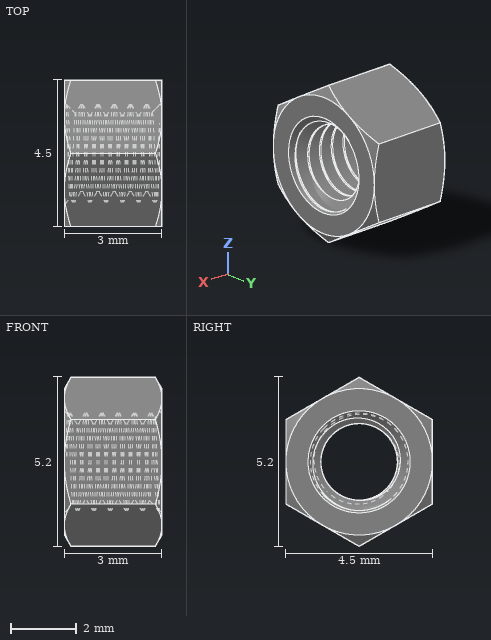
import cadquery as cq
import math

corner_width = 5.2
flat_width = corner_width * math.cos(math.pi / 6)
thickness = 3.0
corner_chamfer_angle = math.radians(30)

pitch = 0.5
major_radius = 1.5
flank_half_angle = math.radians(30)
flat_length = pitch / 8
flank_length = (pitch - 2 * flat_length) / 2
minor_radius = major_radius - flank_length / math.tan(flank_half_angle)
first_root_height = -0.09

countersink_radius = 1.57
countersink_depth = countersink_radius - minor_radius

bore_overlap = 0.025


def hexagon_blank():
    """Hexagonal prism with conical chamfers across the corners of both ends."""
    hexagon = cq.Workplane("XY").polygon(6, corner_width).extrude(thickness)
    corner_radius = corner_width / 2
    face_radius = flat_width / 2
    chamfer_height = (corner_radius - face_radius) * math.tan(corner_chamfer_angle)
    envelope = (
        cq.Workplane("XZ")
        .moveTo(0, 0)
        .lineTo(face_radius, 0)
        .lineTo(corner_radius, chamfer_height)
        .lineTo(corner_radius, thickness - chamfer_height)
        .lineTo(face_radius, thickness)
        .lineTo(0, thickness)
        .close()
        .revolve(360, (0, 0), (0, 1))
    )
    return hexagon.intersect(envelope)


def countersunk_bore():
    """Through bore at the thread crest with a countersink at each end."""
    return (
        cq.Workplane("XZ")
        .moveTo(0, 0)
        .lineTo(countersink_radius, 0)
        .lineTo(minor_radius, countersink_depth)
        .lineTo(minor_radius, thickness - countersink_depth)
        .lineTo(countersink_radius, thickness)
        .lineTo(0, thickness)
        .close()
        .revolve(360, (0, 0), (0, 1))
    )


def thread_groove():
    """Helical groove that runs out past both faces."""
    start_height = first_root_height - pitch
    helix_height = thickness + 3 * pitch
    helix = cq.Wire.makeHelix(pitch, helix_height, minor_radius)
    inner_radius = minor_radius - bore_overlap
    root_half = flat_length / 2
    mouth_half = root_half + (major_radius - inner_radius) * math.tan(flank_half_angle)
    groove = (
        cq.Workplane("XZ")
        .moveTo(inner_radius, -mouth_half)
        .lineTo(major_radius, -root_half)
        .lineTo(major_radius, root_half)
        .lineTo(inner_radius, mouth_half)
        .close()
        .sweep(cq.Workplane(obj=helix), isFrenet=True)
    )
    return groove.translate((0, 0, start_height))


nut = hexagon_blank().cut(thread_groove()).cut(countersunk_bore())

result = nut.rotate((0, 0, 0), (0, 1, 0), 90)